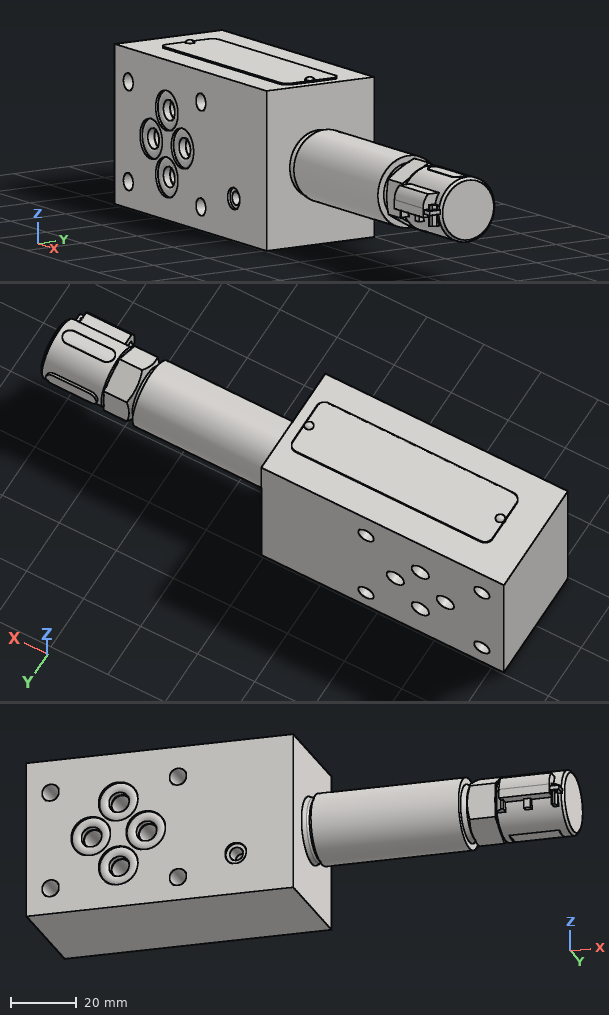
import cadquery as cq
import math

BLOCK_LENGTH = 85.0
BLOCK_DEPTH = 39.0
BLOCK_HEIGHT = 49.7
OVERALL_LENGTH = 168.5
OVERALL_HEIGHT = 51.0

BOLT_HOLE_DIAMETER = 5.4
BOLT_HOLES = [(7.7, 8.3), (7.7, 39.2), (48.3, 7.4), (48.3, 39.9)]

PORT_DIAMETER = 6.0
PORTS = [(29.3, 13.3), (29.3, 34.0), (20.5, 23.7), (38.0, 23.7)]
RING_OUTER_RADIUS = 6.2
RING_WIDTH = 3.0
RING_CROWN = 0.7
RING_RECESS = 0.2
PORT_RECESS_DEPTH = 3.2

GAUGE_HOLE = (66.7, 13.1)
GAUGE_RIM_DIAMETER = 6.7
GAUGE_RIM_DEPTH = 0.8
GAUGE_BORE_DIAMETER = 4.2
GAUGE_BORE_DEPTH = 6.7

PLATE_LENGTH = 70.0
PLATE_WIDTH = 20.0
PLATE_THICKNESS = 0.5
PLATE_CORNER_RADIUS = 2.7
PLATE_LEFT = 11.3
SCREW_HEAD_RADIUS = 1.7
SCREW_INSET = 1.5

AXIS_Y = 19.0
AXIS_Z = 25.0
COLLAR_RADIUS = 10.6
COLLAR_TIP_RADIUS = 10.1
COLLAR_TIP_X = 86.4
GROOVE_RADIUS = 9.6
GROOVE_X = 87.2
SLEEVE_DIAMETER = 22.4
SLEEVE_START_X = 88.3
SLEEVE_END_X = 135.2
NECK_START_RADIUS = 9.1
NECK_END_RADIUS = 8.5

HEX_START_X = 137.0
HEX_END_X = 146.4
HEX_ACROSS_FLATS = 18.9
HEX_CHAMFER_LENGTH = 1.3

KNOB_RADIUS = 10.1
KNOB_START_CHAMFER = 0.5
KNOB_END_CHAMFER = 0.8
BADGE_LENGTH = 17.9
BADGE_WIDTH = 5.0
BADGE_CENTER_X = 157.0
BADGE_DEPTH = 0.2
KNOB_FLAT_START_X = 148.9
KNOB_FLAT_END_X = 164.7
KNOB_FLAT_DEPTH = 0.5
PAD_RADIUS = 11.0

TAB_START_X = 149.0
TAB_END_X = 165.0
TAB_REACH = 14.1
TAB_SHOULDER_REACH = 12.3
TAB_TOP = 5.7
TAB_SHOULDER_BASE = 1.5
TAB_BOTTOM = -1.3
TAB_ROOT = 6.7
WEB_TOP = 2.4
WEB_BOTTOM = -4.2
WEB_REACH = 12.1
WEB_START_X = 147.0
WEB_END_X = 166.5
WEB_THICKNESS = 0.7
RIB_WIDTH = 2.2
RIB_REACH = 11.1
EYE_TOP = 1.0
EYE_BOTTOM = -0.3
EYE_REACH = 13.6
EYE_RIGHT_X = 167.9
EYE_HOLE_DIAMETER = 1.3
EYE_HOLE_X = 166.2
EYE_HOLE_REACH = 12.1


def drill(points, diameter, depth):
    """Cylinders running in +Y from the port face at the given (x, z) points."""
    return cq.Workplane("XZ").pushPoints(points).circle(diameter / 2).extrude(-depth)


def port_recess(x, z):
    """Counterbore with the rounded crown of a seated O-ring left standing in it."""
    inner_radius = RING_OUTER_RADIUS - RING_WIDTH
    crown_radius = RING_OUTER_RADIUS - RING_WIDTH / 2
    ring_depth = RING_RECESS + RING_CROWN
    profile = (
        cq.Workplane("XY")
        .lineTo(RING_OUTER_RADIUS, 0)
        .lineTo(RING_OUTER_RADIUS, ring_depth)
        .threePointArc((crown_radius, RING_RECESS), (inner_radius, ring_depth))
        .lineTo(inner_radius, PORT_RECESS_DEPTH)
        .lineTo(0, PORT_RECESS_DEPTH)
        .close()
    )
    return profile.revolve(360, (0, 0, 0), (0, 1, 0)).translate((x, 0, z))


def gauge_hole():
    """Shallow rim recess around a bore with a conical bottom."""
    bore_radius = GAUGE_BORE_DIAMETER / 2
    profile = (
        cq.Workplane("XY")
        .lineTo(GAUGE_RIM_DIAMETER / 2, 0)
        .lineTo(GAUGE_RIM_DIAMETER / 2, GAUGE_RIM_DEPTH)
        .lineTo(bore_radius, GAUGE_RIM_DEPTH)
        .lineTo(bore_radius, GAUGE_BORE_DEPTH)
        .lineTo(0, GAUGE_BORE_DEPTH + bore_radius)
        .close()
    )
    x, z = GAUGE_HOLE
    return profile.revolve(360, (0, 0, 0), (0, 1, 0)).translate((x, 0, z))


def valve_block():
    block = cq.Workplane("XY").box(BLOCK_LENGTH, BLOCK_DEPTH, BLOCK_HEIGHT, centered=False)
    block = block.cut(drill(BOLT_HOLES, BOLT_HOLE_DIAMETER, BLOCK_DEPTH))
    block = block.cut(drill(PORTS, PORT_DIAMETER, BLOCK_DEPTH))
    for x, z in PORTS:
        block = block.cut(port_recess(x, z))
    return block.cut(gauge_hole())


def name_plate():
    plate_center_x = PLATE_LEFT + PLATE_LENGTH / 2
    plate = (
        cq.Workplane("XY")
        .box(PLATE_LENGTH, PLATE_WIDTH, PLATE_THICKNESS, centered=(True, True, False))
        .edges("|Z")
        .fillet(PLATE_CORNER_RADIUS)
    )
    head_height = OVERALL_HEIGHT - BLOCK_HEIGHT
    half_chord = SCREW_HEAD_RADIUS * math.sqrt(0.5)
    dome_radius = (SCREW_HEAD_RADIUS**2 + head_height**2) / (2 * head_height)
    mid_height = head_height - dome_radius + math.sqrt(dome_radius**2 - half_chord**2)
    head = (
        cq.Workplane("XZ")
        .lineTo(SCREW_HEAD_RADIUS, 0)
        .threePointArc((half_chord, mid_height), (0, head_height))
        .close()
        .revolve(360, (0, 0, 0), (0, 1, 0))
    )
    for side in (-1, 1):
        plate = plate.union(head.translate((side * (PLATE_LENGTH / 2 - SCREW_INSET), 0, 0)))
    return plate.translate((plate_center_x, AXIS_Y, BLOCK_HEIGHT))


def about_axis(outline):
    """Solid of revolution about the cartridge axis from (x, radius) points."""
    first_x = outline[0][0]
    last_x = outline[-1][0]
    points = [(first_x, 0)] + outline + [(last_x, 0)]
    turned = cq.Workplane("XY").polyline(points).close().revolve(360, (0, 0, 0), (1, 0, 0))
    return turned.translate((0, AXIS_Y, AXIS_Z))


def cartridge_sleeve():
    return about_axis([
        (BLOCK_LENGTH, COLLAR_RADIUS),
        (COLLAR_TIP_X, COLLAR_TIP_RADIUS),
        (GROOVE_X, GROOVE_RADIUS),
        (SLEEVE_START_X, COLLAR_TIP_RADIUS),
        (SLEEVE_START_X, SLEEVE_DIAMETER / 2),
        (SLEEVE_END_X, SLEEVE_DIAMETER / 2),
        (SLEEVE_END_X, NECK_START_RADIUS),
        (HEX_START_X, NECK_END_RADIUS),
    ])


def hexagon():
    """Hexagon whose corners are chamfered on the sleeve side."""
    corner_radius = HEX_ACROSS_FLATS / math.sqrt(3)
    prism = (
        cq.Workplane("YZ", origin=(HEX_START_X, AXIS_Y, AXIS_Z))
        .polygon(6, 2 * corner_radius)
        .extrude(HEX_END_X - HEX_START_X)
        .rotate((0, AXIS_Y, AXIS_Z), (1, AXIS_Y, AXIS_Z), 90)
    )
    envelope = about_axis([
        (HEX_START_X, NECK_END_RADIUS),
        (HEX_START_X + HEX_CHAMFER_LENGTH, corner_radius),
        (HEX_END_X, corner_radius),
    ])
    return prism.intersect(envelope)


def knob_cylinder(radius):
    """Cylinder spanning the length of the knob."""
    return about_axis([(HEX_END_X, radius), (OVERALL_LENGTH, radius)])


def knob():
    """Knob with a recessed badge on top, a raised one at the back and a flat underneath."""
    body = about_axis([
        (HEX_END_X, KNOB_RADIUS - KNOB_START_CHAMFER),
        (HEX_END_X + KNOB_START_CHAMFER, KNOB_RADIUS),
        (OVERALL_LENGTH - KNOB_END_CHAMFER, KNOB_RADIUS),
        (OVERALL_LENGTH, KNOB_RADIUS - KNOB_END_CHAMFER),
    ])
    badge_prism = (
        cq.Workplane("XY", origin=(BADGE_CENTER_X, AXIS_Y, AXIS_Z))
        .slot2D(BADGE_LENGTH, BADGE_WIDTH)
        .extrude(2 * KNOB_RADIUS)
    )
    badge = badge_prism.cut(knob_cylinder(KNOB_RADIUS - BADGE_DEPTH))
    back_prism = badge_prism.rotate((0, AXIS_Y, AXIS_Z), (1, AXIS_Y, AXIS_Z), -90)
    pad = back_prism.intersect(knob_cylinder(PAD_RADIUS))
    flat_length = KNOB_FLAT_END_X - KNOB_FLAT_START_X
    flat_bottom = AXIS_Z - 2 * KNOB_RADIUS + KNOB_FLAT_DEPTH
    flat = (
        cq.Workplane("XY")
        .box(flat_length, 2 * KNOB_RADIUS, KNOB_RADIUS, centered=(False, True, False))
        .translate((KNOB_FLAT_START_X, AXIS_Y, flat_bottom))
    )
    return body.cut(badge).cut(flat).union(pad)


def plan_prism(points, bottom, top):
    """Upright prism from (x, reach) points, reach being the distance from the axis in -Y."""
    return (
        cq.Workplane("XY", origin=(0, AXIS_Y, AXIS_Z + bottom))
        .polyline([(x, -reach) for x, reach in points])
        .close()
        .extrude(top - bottom)
    )


def lock_tab():
    """Tab with a rounded shoulder, a web at each end, a middle rib and a sealing eye."""
    tab = (
        cq.Workplane("YZ", origin=(TAB_START_X, AXIS_Y, AXIS_Z))
        .moveTo(-TAB_ROOT, TAB_BOTTOM)
        .lineTo(-TAB_REACH, TAB_BOTTOM)
        .lineTo(-TAB_REACH, TAB_SHOULDER_BASE)
        .tangentArcPoint((-TAB_SHOULDER_REACH, TAB_TOP), relative=False)
        .lineTo(-TAB_ROOT, TAB_TOP)
        .close()
        .extrude(TAB_END_X - TAB_START_X)
    )
    left_web = [
        (WEB_START_X, TAB_ROOT),
        (WEB_START_X, KNOB_RADIUS),
        (TAB_START_X, WEB_REACH),
        (TAB_START_X + WEB_THICKNESS, WEB_REACH),
        (TAB_START_X + WEB_THICKNESS, TAB_ROOT),
    ]
    right_web = [
        (TAB_END_X, TAB_ROOT),
        (TAB_END_X, WEB_REACH),
        (TAB_END_X + WEB_THICKNESS, WEB_REACH),
        (WEB_END_X, KNOB_RADIUS),
        (WEB_END_X, TAB_ROOT),
    ]
    tab_middle_x = (TAB_START_X + TAB_END_X) / 2
    rib_left = tab_middle_x - RIB_WIDTH / 2
    rib_right = tab_middle_x + RIB_WIDTH / 2
    middle_rib = [
        (rib_left, TAB_ROOT),
        (rib_left, RIB_REACH),
        (rib_right, RIB_REACH),
        (rib_right, TAB_ROOT),
    ]
    for outline in (left_web, right_web, middle_rib):
        tab = tab.union(plan_prism(outline, WEB_BOTTOM, WEB_TOP))
    eye_outline = [
        (TAB_END_X, TAB_ROOT),
        (EYE_RIGHT_X, TAB_ROOT),
        (EYE_RIGHT_X, EYE_REACH),
        (TAB_END_X, EYE_REACH),
    ]
    eye = plan_prism(eye_outline, EYE_BOTTOM, EYE_TOP)
    eye_hole = (
        cq.Workplane("XY", origin=(EYE_HOLE_X, AXIS_Y - EYE_HOLE_REACH, 0))
        .circle(EYE_HOLE_DIAMETER / 2)
        .extrude(BLOCK_HEIGHT)
    )
    return tab.union(eye).cut(eye_hole)


result = valve_block()
for feature in (name_plate(), cartridge_sleeve(), hexagon(), knob(), lock_tab()):
    result = result.union(feature)